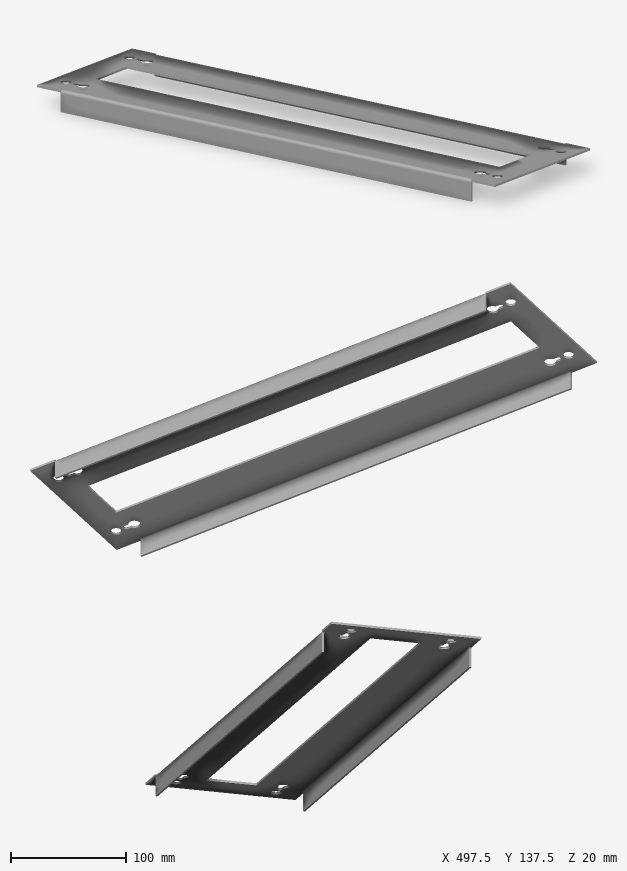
import cadquery as cq

length = 497.5
width = 137.5
height = 20.0
sheet = 2.0

flange_inset = 26.0
bend_outer_radius = 3.0
bend_inner_radius = bend_outer_radius - sheet
flange_length = length - 2 * flange_inset

window_length = 439.0
window_width = 46.0

hole_edge_offset = 23.0
round_end_offset = 14.5
round_diameter = 9.5
keyhole_end_offset = 33.5
keyhole_diameter = 10.5
neck_end_offset = 25.0
neck_width = 5.0

top_z = height / 2
hole_y = width / 2 - hole_edge_offset


def folded_channel():
    """U-shaped channel with rounded bends, open at the bottom."""
    outer = (
        cq.Workplane("XY")
        .box(flange_length, width, height)
        .edges("|X and >Z")
        .fillet(bend_outer_radius)
    )
    inner = (
        cq.Workplane("XY")
        .box(flange_length, width - 2 * sheet, height)
        .edges("|X and >Z")
        .fillet(bend_inner_radius)
        .translate((0, 0, -sheet))
    )
    return outer.cut(inner)


def end_tab(side):
    """Flat full-width tab beyond the flanges at one end."""
    center_x = side * (length - flange_inset) / 2
    return (
        cq.Workplane("XY")
        .box(flange_inset, width, sheet)
        .translate((center_x, 0, top_z - sheet / 2))
    )


def through_sheet(sketch):
    """Cutter passing down from the top face through the sheet."""
    return sketch.extrude(-2 * sheet)


def mounting_holes(side_x, side_y):
    """Round hole and keyhole near one corner; the keyhole neck points outward."""
    y = side_y * hole_y
    round_x = side_x * (length / 2 - round_end_offset)
    keyhole_x = side_x * (length / 2 - keyhole_end_offset)
    neck_x = side_x * (length / 2 - neck_end_offset)
    neck_length = keyhole_end_offset - neck_end_offset
    top = cq.Workplane("XY", origin=(0, 0, top_z))

    round_hole = through_sheet(top.center(round_x, y).circle(round_diameter / 2))
    keyhole = through_sheet(top.center(keyhole_x, y).circle(keyhole_diameter / 2))
    neck = through_sheet(
        top.center((keyhole_x + neck_x) / 2, y).slot2D(neck_length + neck_width, neck_width)
    )
    return round_hole.union(keyhole.union(neck))


result = folded_channel()
for side in (-1, 1):
    result = result.union(end_tab(side))

window = through_sheet(
    cq.Workplane("XY", origin=(0, 0, top_z)).rect(window_length, window_width)
)
result = result.cut(window)

for side_x in (-1, 1):
    for side_y in (-1, 1):
        result = result.cut(mounting_holes(side_x, side_y))